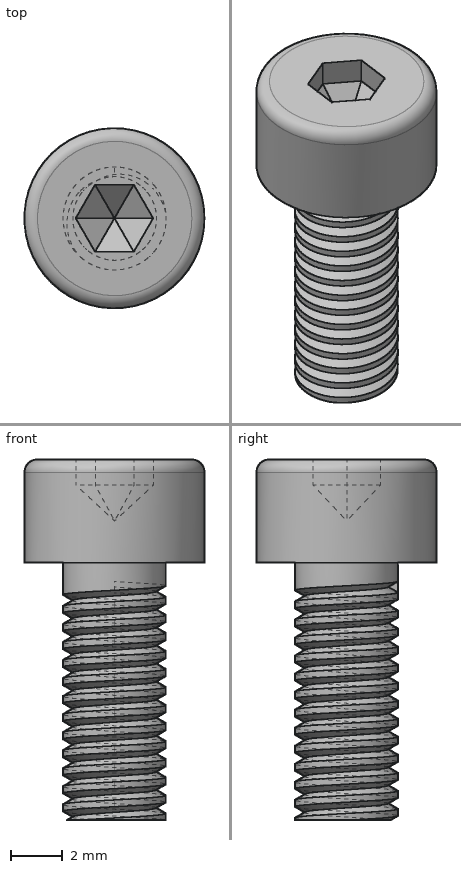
import cadquery as cq
import math

total_length = 14.0
head_diameter = 7.0
head_height = 4.0
head_edge_radius = 0.5
shank_diameter = 4.0

socket_across_flats = 2.6
socket_wall_depth = 1.0
socket_tip_depth = 2.38

thread_pitch = 0.7
groove_depth = 0.38
groove_half_angle = math.radians(30)
groove_start_angle = 90
first_root_below_head = 1.12
groove_overshoot = 0.07

shank_length = total_length - head_height
shank_radius = shank_diameter / 2
socket_corner_radius = socket_across_flats / 2 / math.cos(math.pi / 6)


def make_head():
    head = cq.Workplane("XY").workplane(offset=shank_length)
    head = head.circle(head_diameter / 2).extrude(head_height)
    return head.faces(">Z").edges().fillet(head_edge_radius)


def make_socket():
    """Hexagonal prism with corners on the X axis, closed below by a pyramid."""
    prism = cq.Workplane("XY").workplane(offset=total_length)
    prism = prism.polygon(6, 2 * socket_corner_radius).extrude(-socket_wall_depth)

    apex = cq.Vector(0, 0, total_length - socket_tip_depth)
    rim = [
        cq.Vector(
            socket_corner_radius * math.cos(i * math.pi / 3),
            socket_corner_radius * math.sin(i * math.pi / 3),
            total_length - socket_wall_depth,
        )
        for i in range(6)
    ]
    faces = [cq.Face.makeFromWires(cq.Wire.makePolygon(rim, close=True))]
    for i in range(6):
        side = cq.Wire.makePolygon([rim[i], rim[(i + 1) % 6], apex], close=True)
        faces.append(cq.Face.makeFromWires(side))
    pyramid = cq.Solid.makeSolid(cq.Shell.makeShell(faces))
    return prism.union(cq.Workplane(obj=pyramid))


def make_thread_groove():
    """Helical V cutter, from below the plain neck to past the end of the shank."""
    top_z = shank_length - first_root_below_head + thread_pitch * groove_start_angle / 360
    turns = math.ceil(top_z / thread_pitch) + 1
    bottom_z = top_z - turns * thread_pitch
    outer_half_width = (groove_depth + groove_overshoot) * math.tan(groove_half_angle)
    root_radius = shank_radius - groove_depth
    outer_radius = shank_radius + groove_overshoot

    helix = cq.Wire.makeHelix(thread_pitch, turns * thread_pitch, shank_radius)
    profile = cq.Workplane("XZ").polyline([
        (root_radius, 0),
        (outer_radius, outer_half_width),
        (outer_radius, -outer_half_width),
    ]).close()
    groove = profile.sweep(cq.Workplane(obj=helix), isFrenet=True)
    groove = groove.rotate((0, 0, 0), (0, 0, 1), groove_start_angle)
    return groove.translate((0, 0, bottom_z))


shank = cq.Workplane("XY").circle(shank_radius).extrude(shank_length)
shank = shank.rotate((0, 0, 0), (0, 0, 1), groove_start_angle + 180)
shank = shank.cut(make_thread_groove())
result = shank.union(make_head()).cut(make_socket())